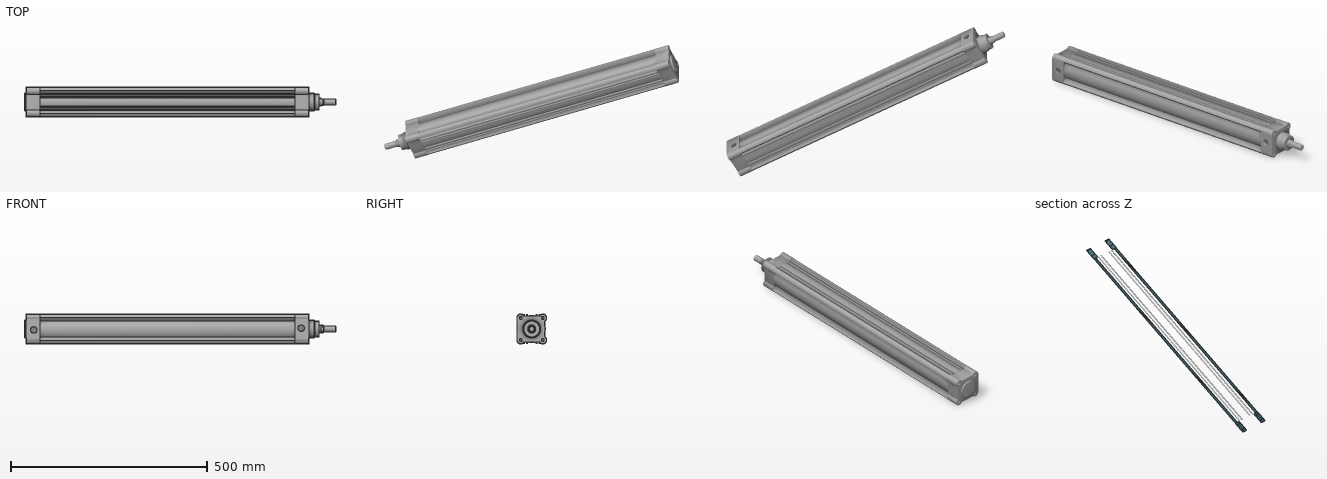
import cadquery as cq
import math

overall_length = 794.0
width = 76.0
half_width = width / 2

cap_length = 36.0
spigot_length = 4.0
spigot_diameter = 45.0
spigot_chamfer = 1.2
screw_offset = 28.3
ear_radius = half_width - screw_offset
recess_depth = 5.0
recess_floor = half_width - recess_depth
screw_hole_diameter = 7.0
screw_hole_depth = 8.0
port_diameter = 17.0
port_depth = 12.0
port_inset = 20.0
port_height = 2.0

barrel_length = 649.5
tube_radius = 34.5
lug_edge = 29.0
lug_corner = 35.0
valley = 21.0
rail_top = 37.0
rail_center = 16.0
rail_width = 11.0
slot_width = 5.0
lip_thickness = 1.5
undercut_width = 9.0
slot_floor = 31.0

collar_large_length = 13.0
collar_taper_length = 3.0
collar_length = 26.0
collar_nose_diameter = 40.5

rod_diameter = 20.0
flats_gap = 5.0
flats_width = 17.0
thread_diameter = 16.0
thread_length = 31.0
thread_chamfer = 1.5

rear_cap_start = spigot_length
barrel_start = rear_cap_start + cap_length
front_cap_start = barrel_start + barrel_length
front_cap_end = front_cap_start + cap_length
collar_end = front_cap_end + collar_length


def disc(start, length, diameter):
    """Cylinder on the X axis."""
    return cq.Workplane("YZ", origin=(start, 0, 0)).circle(diameter / 2).extrude(length)


def block(start, length, y_center, y_size, z_center, z_size):
    """Box that begins at a station on X."""
    center = (start + length / 2, y_center, z_center)
    return cq.Workplane("XY", origin=center).box(length, y_size, z_size)


def cap_body(start):
    """Block with rounded ears at the corners, recessed between them on +Y, +Z and -Z."""
    offsets = (-screw_offset, screw_offset)
    ear_centers = [(y, z) for y in offsets for z in offsets]
    core_depth = recess_floor + half_width
    core = block(start, cap_length, recess_floor - core_depth / 2, core_depth, 0, 2 * screw_offset)
    waist = block(start, cap_length, 0, 2 * screw_offset, 0, 2 * recess_floor)
    ears = cq.Workplane("YZ", origin=(start, 0, 0)).pushPoints(ear_centers).circle(ear_radius)
    return core.union(waist).union(ears.extrude(cap_length))


def port(x, z):
    """Blind air port cut in from the -Y face."""
    face = cq.Workplane("XZ", origin=(x, -half_width, z))
    return face.circle(port_diameter / 2).extrude(-port_depth)


def screw_holes(outer_face, depth):
    """Four blind holes on the ear centres; a negative depth runs towards -X."""
    face = cq.Workplane("YZ", origin=(outer_face, 0, 0))
    centers = face.rect(2 * screw_offset, 2 * screw_offset, forConstruction=True).vertices()
    return centers.circle(screw_hole_diameter / 2).extrude(depth)


def make_rear_cap():
    spigot = disc(0, spigot_length, spigot_diameter).faces("<X").chamfer(spigot_chamfer)
    cap = cap_body(rear_cap_start).union(spigot)
    cap = cap.cut(screw_holes(rear_cap_start, screw_hole_depth))
    return cap.cut(port(rear_cap_start + port_inset, -port_height))


def make_front_cap():
    profile = [
        (front_cap_end, 0),
        (front_cap_end, spigot_diameter / 2),
        (front_cap_end + collar_large_length, spigot_diameter / 2),
        (front_cap_end + collar_large_length + collar_taper_length, collar_nose_diameter / 2),
        (collar_end, collar_nose_diameter / 2),
        (collar_end, 0),
    ]
    collar = cq.Workplane("XY").polyline(profile).close().revolve(360, (0, 0, 0), (1, 0, 0))
    cap = cap_body(front_cap_start).union(collar)
    cap = cap.cut(screw_holes(front_cap_end, -screw_hole_depth))
    cap = cap.cut(port(front_cap_end - port_inset, port_height))
    return cap.cut(disc(front_cap_start, collar_end - front_cap_start, rod_diameter))


def corner_lug():
    """Lug at +Y +Z: a rounded corner with flanks that run back to the tube."""
    valley_height = math.sqrt(tube_radius**2 - valley**2)
    outline = (
        cq.Workplane("YZ", origin=(barrel_start, 0, 0))
        .moveTo(0, 0)
        .lineTo(valley, valley_height)
        .lineTo(lug_edge, half_width)
        .threePointArc((lug_corner, lug_corner), (half_width, lug_edge))
        .lineTo(valley_height, valley)
        .close()
    )
    return outline.extrude(barrel_length)


def sensor_slot(y, face):
    """T-slot through a rail; face is 1 for the top of the barrel and -1 for the bottom."""
    undercut_top = rail_top - lip_thickness
    opening_middle = face * (rail_top + slot_floor) / 2
    undercut_middle = face * (undercut_top + slot_floor) / 2
    opening = block(barrel_start, barrel_length, y, slot_width, opening_middle, rail_top - slot_floor)
    undercut = block(
        barrel_start, barrel_length, y, undercut_width, undercut_middle, undercut_top - slot_floor
    )
    return opening.union(undercut)


def make_barrel():
    barrel = disc(barrel_start, barrel_length, 2 * tube_radius)
    lug = corner_lug()
    for quarter in range(4):
        barrel = barrel.union(lug.rotate((0, 0, 0), (1, 0, 0), 90 * quarter))
    for side in (-1, 1):
        y = side * rail_center
        barrel = barrel.union(block(barrel_start, barrel_length, y, rail_width, 0, 2 * rail_top))
        for face in (-1, 1):
            barrel = barrel.cut(sensor_slot(y, face))
    return barrel


def make_rod():
    thread_start = overall_length - thread_length
    flats_start = collar_end + flats_gap
    flats_length = thread_start - flats_start
    shoulder_chamfer = (rod_diameter - thread_diameter) / 2
    shank = disc(front_cap_start, thread_start - front_cap_start, rod_diameter)
    shank = shank.faces(">X").chamfer(shoulder_chamfer)
    waste = (rod_diameter - flats_width) / 2
    for side in (-1, 1):
        waste_center = side * (flats_width + waste) / 2
        shank = shank.cut(block(flats_start, flats_length, waste_center, waste, 0, rod_diameter))
    thread = disc(thread_start, thread_length, thread_diameter).faces(">X").chamfer(thread_chamfer)
    return shank.union(thread)


rear_cap = make_rear_cap()
barrel = make_barrel()
front_cap = make_front_cap()
rod = make_rod()

result = cq.Compound.makeCompound([rear_cap.val(), barrel.val(), front_cap.val(), rod.val()])